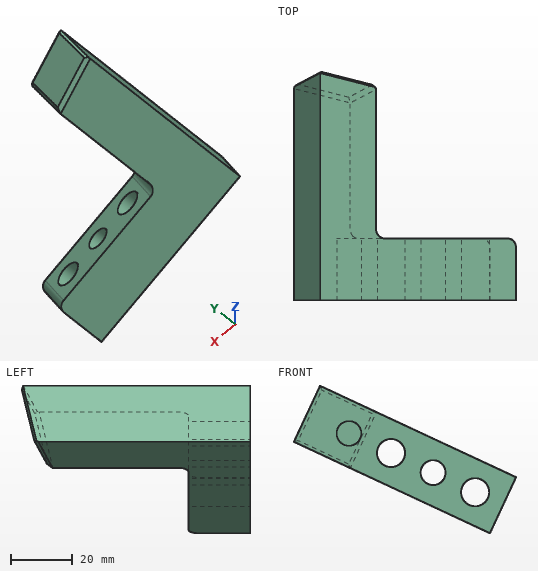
import cadquery as cq
import math

foot_length = 70.0
thickness = 20.0
tilt = 25

overall_reach = 73.9
slope_across = math.radians(13)
slope_down = math.radians(12.5)
tip_bevel = 1.0
tip_peak = overall_reach + tip_bevel * (math.sin(slope_across) + math.sin(slope_down))

corner_radius = 3.0

hole_pitch = 15.0
small_diameter = 8.0
large_diameter = 9.0
hole_diameters = [small_diameter, large_diameter, small_diameter, large_diameter]
hole_depth = thickness


def make_l_shape():
    """Square-ended L: foot along X, arm along Y, lower face at Z = 0."""
    foot = cq.Workplane("XY").box(foot_length, thickness, thickness, centered=False)
    arm = cq.Workplane("XY").box(thickness, tip_peak, thickness, centered=False)
    rounded_edges = cq.selectors.BoxSelector(
        (thickness / 2, thickness / 2, 0),
        (foot_length + thickness, 1.5 * thickness, thickness),
    )
    return foot.union(arm).edges("|Z").edges(rounded_edges).fillet(corner_radius)


def slope_tip(body):
    """Cut the arm tip back on a plane falling from its upper outer corner."""
    tip_plane = cq.Plane(
        origin=(0, tip_peak, thickness),
        xDir=(1, -math.tan(slope_across), 0),
        normal=(math.tan(slope_across), 1, -math.tan(slope_down)),
    )
    waste_size = 4 * thickness
    waste = cq.Workplane(tip_plane).rect(waste_size, waste_size).extrude(thickness)
    return body.cut(waste)


def finish_tip(body):
    """Bevel the four tip edges at 45 degrees to the tip face."""
    tip_face = body.faces(">Y").val()
    outline = tip_face.outerWire()
    depth = thickness
    inset_outline = outline.offset2D(-tip_bevel)[0]
    spread_outline = outline.offset2D(depth - tip_bevel, "intersection")[0]
    spread_outline = spread_outline.translate(tip_face.normalAt() * -depth)
    tip_envelope = cq.Workplane(cq.Solid.makeLoft([inset_outline, spread_outline], True))
    lower_envelope = cq.Workplane("XY").box(
        foot_length, tip_peak - thickness, thickness, centered=False
    )
    return body.intersect(tip_envelope.union(lower_envelope))


def drill_holes(body):
    """Sink the row of alternating holes into the front face of the foot."""
    for number, diameter in enumerate(hole_diameters, start=1):
        hole = (
            cq.Workplane("XZ", origin=(number * hole_pitch, 0, thickness / 2))
            .circle(diameter / 2)
            .extrude(-hole_depth)
        )
        body = body.cut(hole)
    return body


l_shape = make_l_shape()
arm_finished = finish_tip(slope_tip(l_shape))
result = drill_holes(arm_finished).rotate((0, 0, 0), (0, 1, 0), tilt)